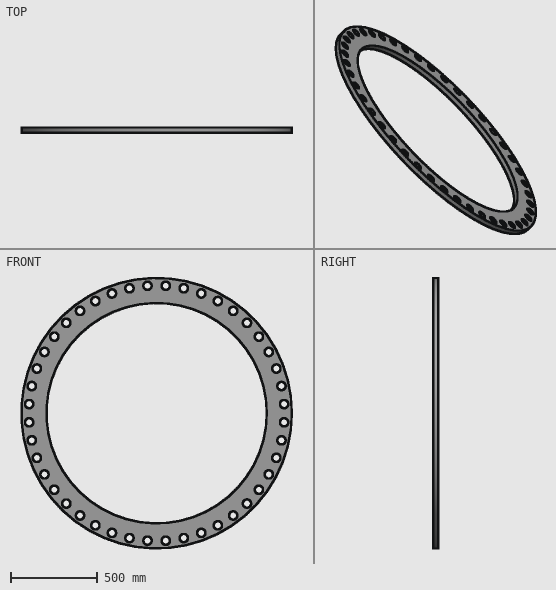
import cadquery as cq

outer_diameter = 1568
bore_diameter = 1275.0
thickness = 31

hole_count = 44
hole_diameter = 47
hole_circle_diameter = 1480.0
hole_pitch_angle = 360 / hole_count

rear_face = cq.Workplane("XZ", origin=(0, thickness / 2, 0))


def make_ring():
    return rear_face.circle(outer_diameter / 2).circle(bore_diameter / 2).extrude(thickness)


def make_hole_cutters():
    return (
        rear_face
        .polarArray(hole_circle_diameter / 2, hole_pitch_angle / 2, 360, hole_count)
        .circle(hole_diameter / 2)
        .extrude(thickness)
    )


result = make_ring().cut(make_hole_cutters())